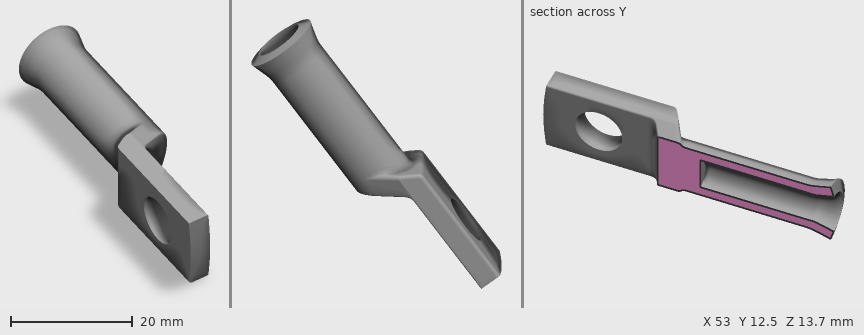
import cadquery as cq
import math

length = 52.95
barrel_radius = 5.0
bore_radius = 3.05
bore_depth = 23.85
bore_cone_depth = 2.9
bore_blend_end_x = 4.35
flare_radius = 6.05
flare_lip_x = 0.6
mouth_radius = 4.0
blend_start_x = 3.45
blend_end_x = 5.05
flare_slope = (flare_radius - barrel_radius) / ((blend_start_x + blend_end_x) / 2 - flare_lip_x)

overall_depth = 12.5
palm_front_y = flare_radius - overall_depth
palm_thickness = 3.8
palm_back_y = palm_front_y + palm_thickness
palm_width = 13.7
shoulder_y = -2.85
end_sagitta = 0.55
hole_diameter = 8.4
hole_x = 43.05

neck_run_per_y = 0.61
back_bend_x = 33.0
front_bend_x = 30.8
front_bend_radius = 1.05
back_bend_radius = 1.7
barrel_fillet = 1.05
back_edge_radius = 0.3
front_edge_radius = 0.65

half_width = palm_width / 2

corner_angle = math.atan2(half_width, shoulder_y)
tangent_angle = corner_angle - math.acos(barrel_radius / math.hypot(shoulder_y, half_width))
tangent_y = barrel_radius * math.cos(tangent_angle)
tangent_z = barrel_radius * math.sin(tangent_angle)


def back_slope_x(y):
    """X of the sloped back face at height y."""
    return back_bend_x - neck_run_per_y * (y - palm_back_y)


def front_slope_x(y):
    """X of the sloped front face at height y."""
    return front_bend_x - neck_run_per_y * (y - palm_front_y)


def neck_middle_x(y):
    """X of the plane halfway between the sloped faces at height y."""
    return (front_slope_x(y) + back_slope_x(y)) / 2


def make_flange():
    """Neck and palm: a YZ section tangent to the barrel, trimmed by the cranked XY outline."""
    section = (
        cq.Workplane("YZ")
        .moveTo(palm_front_y, -half_width)
        .lineTo(shoulder_y, -half_width)
        .lineTo(tangent_y, -tangent_z)
        .threePointArc((barrel_radius, 0), (tangent_y, tangent_z))
        .lineTo(shoulder_y, half_width)
        .lineTo(palm_front_y, half_width)
        .close()
        .extrude(length)
    )
    top_y = barrel_radius + 0.55
    crank = (
        cq.Workplane("XY")
        .moveTo(length, palm_front_y)
        .lineTo(front_bend_x, palm_front_y)
        .lineTo(front_slope_x(top_y), top_y)
        .lineTo(back_slope_x(top_y), top_y)
        .lineTo(back_bend_x, palm_back_y)
        .lineTo(length, palm_back_y)
        .close()
        .extrude(half_width, both=True)
    )
    near_front_bend = cq.selectors.NearestToPointSelector((front_bend_x, palm_front_y, 0))
    crank = crank.edges(near_front_bend).fillet(front_bend_radius)
    near_back_bend = cq.selectors.NearestToPointSelector((back_bend_x, palm_back_y, 0))
    crank = crank.edges(near_back_bend).fillet(back_bend_radius)
    return section.intersect(crank)


def edge_near(body, x, y, z):
    """Workplane holding the edge whose midpoint lies closest to the given point."""
    target = cq.Vector(x, y, z)
    edge = min(body.edges().vals(), key=lambda e: (e.positionAt(0.5) - target).Length)
    return body.newObject([edge])


def round_flange_edges(flange):
    """Round the front edge over the neck and along the -Z side, then the back edge of the neck."""
    side_y = (shoulder_y + tangent_y) / 2
    side_z = (half_width + tangent_z) / 2
    neck_edge = edge_near(flange, front_slope_x(side_y), side_y, side_z)
    palm_edge = edge_near(flange, hole_x, palm_front_y, -half_width)
    flange = neck_edge.add(palm_edge).fillet(front_edge_radius)
    return edge_near(flange, back_slope_x(side_y), side_y, side_z).fillet(back_edge_radius)


def make_barrel():
    """Flared round barrel, ending inside the sloped neck."""
    barrel = (
        cq.Workplane("XY")
        .lineTo(0, mouth_radius)
        .lineTo(flare_lip_x, flare_radius)
        .lineTo(blend_start_x, flare_radius - flare_slope * (blend_start_x - flare_lip_x))
        .tangentArcPoint((blend_end_x, barrel_radius), relative=False)
        .lineTo(back_bend_x, barrel_radius)
        .lineTo(back_bend_x, 0)
        .close()
        .revolve(360, (0, 0, 0), (1, 0, 0))
    )
    low_y = -flare_radius
    high_y = flare_radius
    keep = (
        cq.Workplane("XY")
        .polyline([(0, low_y), (neck_middle_x(low_y), low_y), (neck_middle_x(high_y), high_y), (0, high_y)])
        .close()
        .extrude(half_width, both=True)
    )
    return barrel.intersect(keep)


def make_bore():
    """Blind bore whose flared mouth follows the outer flare."""
    cone_end_radius = mouth_radius - flare_slope * bore_cone_depth
    return (
        cq.Workplane("XY")
        .lineTo(0, mouth_radius)
        .lineTo(bore_cone_depth, cone_end_radius)
        .tangentArcPoint((bore_blend_end_x, bore_radius), relative=False)
        .lineTo(bore_depth, bore_radius)
        .lineTo(bore_depth, 0)
        .close()
        .revolve(360, (0, 0, 0), (1, 0, 0))
    )


def make_palm_hole():
    """Bolt hole through the palm."""
    return (
        cq.Workplane("XZ", origin=(hole_x, palm_back_y, 0))
        .circle(hole_diameter / 2)
        .extrude(palm_thickness)
    )


def make_end_limit():
    """Block whose +X side is the shallow arc that ends the palm."""
    corner_x = length - end_sagitta
    return (
        cq.Workplane("XZ", origin=(0, flare_radius, 0))
        .moveTo(0, -half_width)
        .lineTo(corner_x, -half_width)
        .threePointArc((length, 0), (corner_x, half_width))
        .lineTo(0, half_width)
        .close()
        .extrude(overall_depth)
    )


body = make_barrel().union(round_flange_edges(make_flange()))
body = edge_near(body, front_slope_x(-barrel_radius), -barrel_radius, 0).fillet(barrel_fillet)
result = body.intersect(make_end_limit()).cut(make_bore()).cut(make_palm_hole())